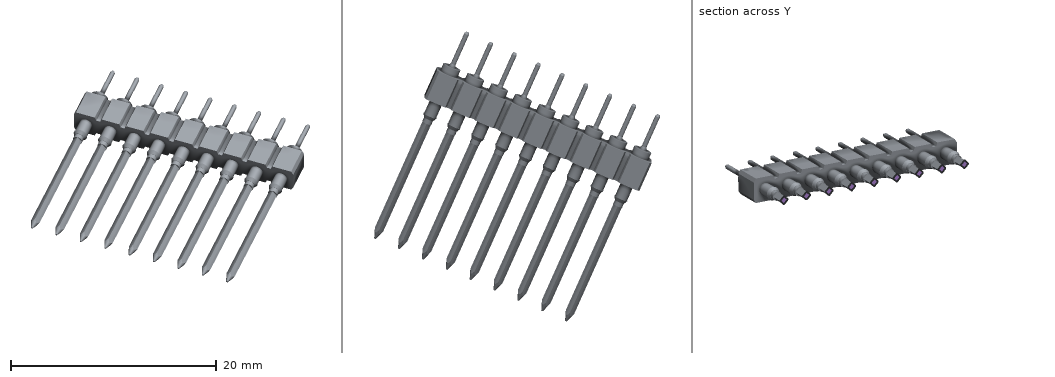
import cadquery as cq
import math

PIN_COUNT = 9
PITCH = 2.54
OVERALL_LENGTH = 22.36

BODY_HEIGHT = PITCH
BODY_DEPTH = 3.0
BODY_LENGTH = PIN_COUNT * PITCH
END_CHAMFER = 0.23
NOTCH_DEPTH = 0.38
NOTCH_HALF_OPENING = 0.36
NOTCH_HALF_FLOOR = 0.2

COLLAR_DIAMETER = 1.8
COLLAR_LENGTH = 0.74
TAIL_CONE_DIAMETER = 0.72
TAIL_CONE_LENGTH = 0.33
TAIL_DIAMETER = 0.48
TAIL_LENGTH = 3.43
TAIL_TIP_CHAMFER = 0.2
TAIL_TIP_DIAMETER = 0.3

BARREL_DIAMETER = 1.27
BARREL_LENGTH = 1.54
LIP_DIAMETER = 1.39
SHOULDER_LENGTH = 0.36
SHOULDER_END_DIAMETER = 1.0
NECK_DIAMETER = 0.95
NECK_LENGTH = 0.45
POST_SIDE = 0.64
POINT_LENGTH = 1.0
POINT_TIP_DIAMETER = 0.18

BODY_REAR = BODY_DEPTH / 2
BODY_FRONT = -BODY_DEPTH / 2
COLLAR_REAR = BODY_REAR + COLLAR_LENGTH
TAIL_TIP = COLLAR_REAR + TAIL_CONE_LENGTH + TAIL_LENGTH
BARREL_FRONT = BODY_FRONT - BARREL_LENGTH
SHOULDER_FRONT = BARREL_FRONT - SHOULDER_LENGTH
NECK_FRONT = SHOULDER_FRONT - NECK_LENGTH
POST_TIP = TAIL_TIP - OVERALL_LENGTH


def make_body():
    """Bar with chamfered long edges at its ends and tapered notches between the pins."""
    half_length = BODY_LENGTH / 2
    half_height = BODY_HEIGHT / 2
    notch_floor = half_height - NOTCH_DEPTH

    top_edge = [(-half_length, notch_floor), (-half_length + END_CHAMFER, half_height)]
    for index in range(1, PIN_COUNT):
        notch_x = -half_length + index * PITCH
        top_edge += [
            (notch_x - NOTCH_HALF_OPENING, half_height),
            (notch_x - NOTCH_HALF_FLOOR, notch_floor),
            (notch_x + NOTCH_HALF_FLOOR, notch_floor),
            (notch_x + NOTCH_HALF_OPENING, half_height),
        ]
    top_edge += [(half_length - END_CHAMFER, half_height), (half_length, notch_floor)]
    bottom_edge = [(x, -z) for x, z in reversed(top_edge)]

    outline = cq.Workplane("XZ").polyline(top_edge + bottom_edge).close()
    return outline.extrude(BODY_DEPTH / 2, both=True)


def revolve_about_y(profile):
    """Solid of revolution about Y from (radius, y) points."""
    return cq.Workplane("XY").polyline(profile).close().revolve(360, (0, 0), (0, 1))


def make_turned_pin():
    """Round stretch of a pin, from the tail tip to the front of the neck."""
    tail_radius = TAIL_DIAMETER / 2
    collar_radius = COLLAR_DIAMETER / 2
    barrel_radius = BARREL_DIAMETER / 2
    neck_radius = NECK_DIAMETER / 2
    return revolve_about_y([
        (0, TAIL_TIP),
        (TAIL_TIP_DIAMETER / 2, TAIL_TIP),
        (tail_radius, TAIL_TIP - TAIL_TIP_CHAMFER),
        (tail_radius, COLLAR_REAR + TAIL_CONE_LENGTH),
        (TAIL_CONE_DIAMETER / 2, COLLAR_REAR),
        (collar_radius, COLLAR_REAR),
        (collar_radius, BODY_REAR),
        (barrel_radius, BODY_REAR),
        (barrel_radius, BARREL_FRONT),
        (LIP_DIAMETER / 2, BARREL_FRONT),
        (SHOULDER_END_DIAMETER / 2, SHOULDER_FRONT),
        (neck_radius, SHOULDER_FRONT),
        (neck_radius, NECK_FRONT),
        (0, NECK_FRONT),
    ])


def make_square_post():
    """Square wire-wrap post, set on its corner and turned to a conical point."""
    corner_radius = POST_SIDE / math.sqrt(2)
    post = (
        cq.Workplane("XZ", origin=(0, NECK_FRONT, 0))
        .transformed(rotate=(0, 0, 45))
        .rect(POST_SIDE, POST_SIDE)
        .extrude(NECK_FRONT - POST_TIP)
    )
    pointed_envelope = revolve_about_y([
        (0, NECK_FRONT),
        (corner_radius, NECK_FRONT),
        (corner_radius, POST_TIP + POINT_LENGTH),
        (POINT_TIP_DIAMETER / 2, POST_TIP),
        (0, POST_TIP),
    ])
    return post.intersect(pointed_envelope)


pin = make_turned_pin().union(make_square_post())
result = make_body()
for index in range(PIN_COUNT):
    pin_x = (index - (PIN_COUNT - 1) / 2) * PITCH
    result = result.union(pin.translate((pin_x, 0, 0)))